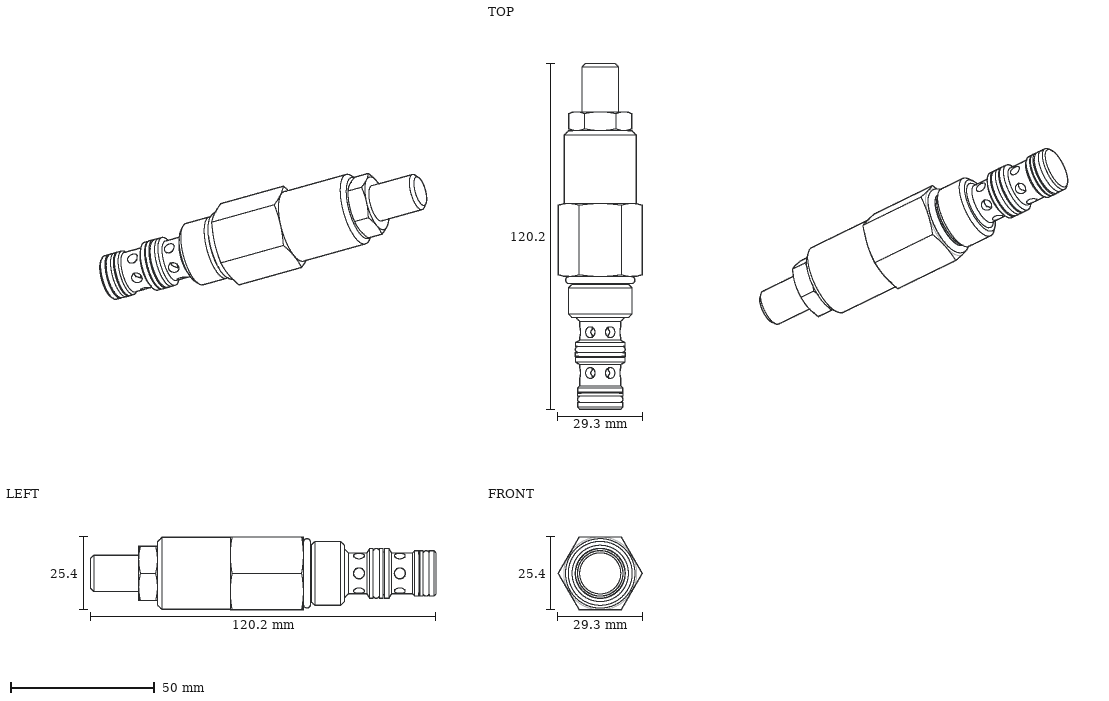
import cadquery as cq
import math


nose_land_end = 8.2
mid_land_start, mid_land_end = 15.5, 24.0
body_start, body_end = 31.9, 43.4
hex_start, hex_end = 46.2, 71.5
cap_end = 96.9
nut_end = 103.4
stem_end = 120.2

sleeve_dia = 14.3
nose_land_dia = 15.8
mid_land_dia = 17.3
body_dia = 22.2
neck_dia = 19.6
cap_dia = 25.1
stem_dia = 12.7

nose_chamfer = 0.7
mid_land_taper_angle = 60
body_root_chamfer = 1.3
body_front_chamfer = 1.3
body_rear_chamfer = 1.2
cap_chamfer = 1.6
stem_chamfer = 1.2

body_hex_flats = 25.4
nut_hex_flats = 19.0
hex_corner_bevel = 0.6
hex_sides = 6

nose_groove_start, nose_groove_end, nose_groove_dia = 2.4, 6.0, 13.3
mid_groove_start, mid_groove_end, mid_groove_dia = 18.0, 21.9, 14.9
nose_ring_dia = 15.9
mid_ring_dia = 17.4
land_ring_section = 2.2
backup_clearance = 0.4
backup_overlap = 0.6
body_ring_dia = 24.2
body_ring_section = 2.5

port_dia = 3.7
port_count = 6
port_stations = (12.6, 26.8)
chamber_dia = 6.4


def revolve_profile(points):
    """Revolve a closed (radius, y) outline about the Y axis."""
    return cq.Workplane("XY").polyline(points).close().revolve(360, (0, 0, 0), (0, 1, 0))


def cylinder(diameter, start, end):
    """Solid cylinder on the Y axis from start to end."""
    return revolve_profile([(0, start), (diameter / 2, start), (diameter / 2, end), (0, end)])


def tube(outer_dia, inner_dia, start, end):
    """Ring of rectangular section around the Y axis."""
    outer, inner = outer_dia / 2, inner_dia / 2
    return revolve_profile([(inner, start), (outer, start), (outer, end), (inner, end)])


def round_ring(outer_dia, seat_dia, section, station):
    """Ring around the Y axis of circular section, cut off flat where it rests on its seat."""
    section_radius = section / 2
    seat_radius = seat_dia / 2
    centre_radius = outer_dia / 2 - section_radius
    half_contact = math.sqrt(section_radius**2 - (centre_radius - seat_radius) ** 2)
    return (
        cq.Workplane("XY")
        .moveTo(seat_radius, station - half_contact)
        .threePointArc((outer_dia / 2, station), (seat_radius, station + half_contact))
        .close()
        .revolve(360, (0, 0, 0), (0, 1, 0))
    )


def beveled_hexagon(across_flats, start, end):
    """Hexagonal prism along Y whose corners are turned down at both ends to the flats' inscribed circle."""
    corner_dia = across_flats / math.cos(math.pi / hex_sides)
    prism = (
        cq.Workplane("XZ", origin=(0, end, 0))
        .polygon(hex_sides, corner_dia)
        .extrude(end - start)
    )
    turned = revolve_profile([
        (0, start),
        (across_flats / 2, start),
        (corner_dia / 2, start + hex_corner_bevel),
        (corner_dia / 2, end - hex_corner_bevel),
        (across_flats / 2, end),
        (0, end),
    ])
    return prism.intersect(turned)


def stepped_core():
    """Turned outline from the nose to the end of the stem, without hexagons and seals."""
    sleeve = sleeve_dia / 2
    nose_land = nose_land_dia / 2
    mid_land = mid_land_dia / 2
    body = body_dia / 2
    neck = neck_dia / 2
    cap = cap_dia / 2
    stem = stem_dia / 2
    mid_land_taper = (mid_land - sleeve) / math.tan(math.radians(mid_land_taper_angle))
    return revolve_profile([
        (0, 0),
        (nose_land - nose_chamfer, 0),
        (nose_land, nose_chamfer),
        (nose_land, nose_land_end - nose_chamfer),
        (sleeve, nose_land_end),
        (sleeve, mid_land_start),
        (mid_land, mid_land_start + mid_land_taper),
        (mid_land, mid_land_end - mid_land_taper),
        (sleeve, mid_land_end),
        (sleeve, body_start - body_root_chamfer),
        (sleeve + body_root_chamfer, body_start),
        (body - body_front_chamfer, body_start),
        (body, body_start + body_front_chamfer),
        (body, body_end - body_rear_chamfer),
        (body - body_rear_chamfer, body_end),
        (neck, body_end),
        (neck, hex_end),
        (cap, hex_end),
        (cap, cap_end - cap_chamfer),
        (cap - cap_chamfer, cap_end),
        (stem, cap_end),
        (stem, stem_end - stem_chamfer),
        (stem - stem_chamfer, stem_end),
        (0, stem_end),
    ])


def fit_land_seal(core, groove_dia, groove_start, groove_end, ring_dia, ring_first):
    """Cut a seal groove in a land, then fit its round ring and backup ring side by side."""
    core = core.cut(tube(ring_dia, groove_dia, groove_start, groove_end))
    half_section = land_ring_section / 2
    backup_width = groove_end - groove_start - land_ring_section - backup_clearance
    if ring_first:
        ring_station = groove_start + half_section
        backup_start = groove_end - backup_clearance - backup_width
    else:
        ring_station = groove_end - half_section
        backup_start = groove_start + backup_clearance
    core = core.union(round_ring(ring_dia, groove_dia, land_ring_section, ring_station))
    backup_inner_dia = groove_dia - 2 * backup_overlap
    return core.union(tube(ring_dia, backup_inner_dia, backup_start, backup_start + backup_width))


def port_tools():
    """Evenly spaced radial drills, one of them along +X, at both port stations."""
    tools = cylinder(chamber_dia, port_stations[0] - port_dia / 2, port_stations[1] + port_dia / 2)
    for station in port_stations:
        for index in range(port_count // 2):
            drill = (
                cq.Workplane("YZ", origin=(-sleeve_dia, 0, 0))
                .center(station, 0)
                .circle(port_dia / 2)
                .extrude(2 * sleeve_dia)
                .rotate((0, 0, 0), (0, 1, 0), index * 360 / port_count)
            )
            tools = tools.union(drill)
    return tools


part = stepped_core()
part = part.union(beveled_hexagon(body_hex_flats, hex_start, hex_end))
part = part.union(beveled_hexagon(nut_hex_flats, cap_end, nut_end))
body_ring_station = hex_start - body_ring_section / 2
part = part.union(round_ring(body_ring_dia, neck_dia, body_ring_section, body_ring_station))
part = fit_land_seal(
    part, nose_groove_dia, nose_groove_start, nose_groove_end, nose_ring_dia, ring_first=True
)
part = fit_land_seal(
    part, mid_groove_dia, mid_groove_start, mid_groove_end, mid_ring_dia, ring_first=False
)
result = part.cut(port_tools())